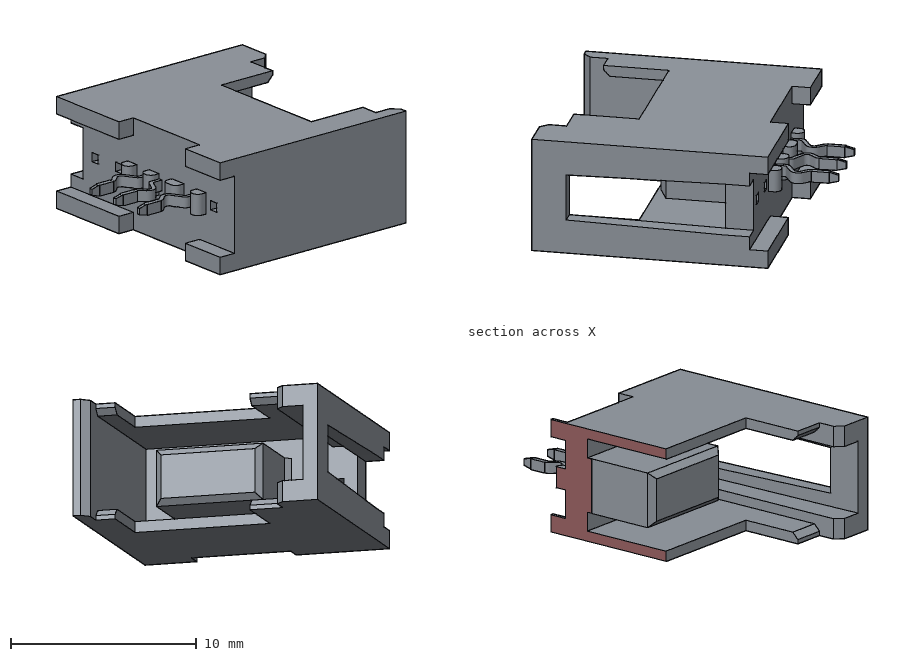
import cadquery as cq
import math


WIDTH = 13.8
HEIGHT = 6.4
MOUTH_Y = 12.0
RIM_LENGTH = 1.0
RIM_THICKNESS = 1.0
RIM_GAP_LEFT = 5.27
RIM_GAP_RIGHT = 10.87
BACK_WALL = 1.55

MAIN_BAY_LEFT = 2.4
MAIN_BAY_RIGHT = 12.94
MAIN_BAY_HALF = 2.6
KEY_BAY_HALF = 2.04
SIDE_WALL_BOTTOM = 1.03
SIDE_WALL_MOUTH = 0.82

NOTCH_Y = 10.6
CORNER_CHAMFER = 0.43
SLOT_LEFT = 4.25
SLOT_RIGHT = 11.85
SLOT_Y = 7.0
LEAD_IN = 0.35

WINDOW_Y = 10.1
WINDOW_HALF_OUTER = 1.46
WINDOW_HALF_INNER = 1.29

PITCH = 2.0
FIRST_CONTACT_X = 2.05
EMPTY_POSITIONS = (0, 1, 5)
PIN_POSITIONS = ((2, 1), (3, -1), (4, 1))
HOLE_SIZE = 0.52

TONGUE_Y = 6.05
TONGUE_HALF = 1.55
TONGUE_MARGIN = 1.0
TONGUE_TIP_CHAMFER = 0.35
TONGUE_BASE_CHAMFER = 0.3

BOSS_HEIGHT = 0.64
BOSS_HALF = 0.61
BOSS_ROUND = 0.36
BOSSES = ((4.8, 0.78), (6.62, 0.83), (8.51, 1.06), (10.62, 0.79))

PIN_HALF_Z = 0.31
PIN_STRIP = 0.24
PIN_LEG = 0.31
PIN_ROOT_Y = 1.0
ROOT_OFFSET = 0.48
UPPER_BEND_Y = -0.68
APEX_OFFSET = -0.65
APEX_Y = -1.31
LOWER_BEND_Y = -2.02
LEG_TOP_Y = -2.12
APEX_RADIUS = 0.36
BEND_RADIUS = 0.2
TIP_START_Y = -3.1
TIP_END_Y = -3.6
TIP_THICKNESS = 0.2
TIP_HALF_Z = 0.18


def block(x0, x1, y0, y1, z0, z1):
    """Box between two opposite corners."""
    return cq.Workplane("XY").box(x1 - x0, y1 - y0, z1 - z0, centered=False).translate((x0, y0, z0))


def plate(points, half_height):
    """XY outline extruded symmetrically about Z = 0."""
    return cq.Workplane("XY").polyline(points).close().extrude(half_height, both=True)


def make_housing():
    """Solid block with rims along the top and bottom back edges."""
    half = HEIGHT / 2
    body = block(0, WIDTH, 0, MOUTH_Y, -half, half)
    for x0, x1 in ((0, RIM_GAP_LEFT), (RIM_GAP_RIGHT, WIDTH)):
        for z0 in (-half, half - RIM_THICKNESS):
            body = body.union(block(x0, x1, -RIM_LENGTH, 0, z0, z0 + RIM_THICKNESS))
    return body


def make_cavity():
    """Main bay with a flared mouth, and the key bay with its drafted left wall."""
    flare = MAIN_BAY_HALF + LEAD_IN
    flare_start = NOTCH_Y - LEAD_IN
    main_bay = (
        cq.Workplane("YZ", origin=(MAIN_BAY_LEFT, 0, 0))
        .polyline([
            (BACK_WALL, -MAIN_BAY_HALF),
            (flare_start, -MAIN_BAY_HALF),
            (NOTCH_Y, -flare),
            (MOUTH_Y, -flare),
            (MOUTH_Y, flare),
            (NOTCH_Y, flare),
            (flare_start, MAIN_BAY_HALF),
            (BACK_WALL, MAIN_BAY_HALF),
        ])
        .close()
        .extrude(MAIN_BAY_RIGHT - MAIN_BAY_LEFT)
    )
    key_bay = plate(
        [
            (SIDE_WALL_BOTTOM, BACK_WALL),
            (MAIN_BAY_RIGHT, BACK_WALL),
            (MAIN_BAY_RIGHT, MOUTH_Y),
            (SIDE_WALL_MOUTH, MOUTH_Y),
        ],
        KEY_BAY_HALF,
    )
    return main_bay.union(key_bay)


def make_plate_opening():
    """Stepped mouth opening that passes through the top and bottom plates."""
    chamfer_y = MOUTH_Y - CORNER_CHAMFER
    return plate(
        [
            (MAIN_BAY_LEFT - CORNER_CHAMFER, MOUTH_Y),
            (MAIN_BAY_LEFT, chamfer_y),
            (MAIN_BAY_LEFT, NOTCH_Y),
            (SLOT_LEFT, NOTCH_Y),
            (SLOT_LEFT, SLOT_Y),
            (SLOT_RIGHT, SLOT_Y),
            (SLOT_RIGHT, NOTCH_Y),
            (MAIN_BAY_RIGHT, NOTCH_Y),
            (MAIN_BAY_RIGHT, chamfer_y),
            (MAIN_BAY_RIGHT + CORNER_CHAMFER, MOUTH_Y),
        ],
        HEIGHT / 2,
    )


def make_window():
    """Tapered latch window, running out through the back wall."""
    return (
        cq.Workplane("YZ")
        .polyline([
            (0, -WINDOW_HALF_OUTER),
            (BACK_WALL, -WINDOW_HALF_OUTER),
            (WINDOW_Y, -WINDOW_HALF_INNER),
            (WINDOW_Y, WINDOW_HALF_INNER),
            (BACK_WALL, WINDOW_HALF_OUTER),
            (0, WINDOW_HALF_OUTER),
        ])
        .close()
        .extrude(SIDE_WALL_BOTTOM)
    )


def contact_x(position):
    return FIRST_CONTACT_X + position * PITCH


def make_contact_hole(position):
    """Square hole through the back wall at an unused contact position."""
    half = HOLE_SIZE / 2
    x = contact_x(position)
    return block(x - half, x + half, 0, BACK_WALL, -half, half)


def make_tongue():
    """Tongue rising from the back wall, chamfered at its tip and flared at its base."""
    x0 = contact_x(PIN_POSITIONS[0][0]) - TONGUE_MARGIN
    x1 = contact_x(PIN_POSITIONS[-1][0]) + TONGUE_MARGIN
    tongue = block(x0, x1, BACK_WALL, TONGUE_Y, -TONGUE_HALF, TONGUE_HALF)
    tongue = tongue.faces(">Y").chamfer(TONGUE_TIP_CHAMFER)
    base = plate(
        [
            (x0 - TONGUE_BASE_CHAMFER, BACK_WALL),
            (x1 + TONGUE_BASE_CHAMFER, BACK_WALL),
            (x1, BACK_WALL + TONGUE_BASE_CHAMFER),
            (x0, BACK_WALL + TONGUE_BASE_CHAMFER),
        ],
        TONGUE_HALF,
    )
    return tongue.union(base)


def make_boss(left, width):
    """Standoff with its two outer edges rounded."""
    boss = block(left, left + width, -BOSS_HEIGHT, 0, -BOSS_HALF, BOSS_HALF)
    return boss.faces("<Y").edges("|Z").fillet(BOSS_ROUND)


def strip_outline(path, thickness):
    """Closed outline of a bent strip, mitred about its centre line."""
    headings = [math.atan2(b[1] - a[1], b[0] - a[0]) for a, b in zip(path, path[1:])]
    before = [headings[0]] + headings
    after = headings + [headings[-1]]
    left, right = [], []
    for (x, y), h0, h1 in zip(path, before, after):
        normal = (h0 + h1 + math.pi) / 2
        reach = thickness / 2 / math.cos((h1 - h0) / 2)
        dx = reach * math.cos(normal)
        dy = reach * math.sin(normal)
        left.append((x + dx, y + dy))
        right.append((x - dx, y - dy))
    return left + right[::-1]


def round_bend(strip, x, y, radius, bulge):
    """Round the strip bend at (x, y), which bulges to the +X (1) or -X (-1) side."""
    reach = PIN_STRIP
    near = cq.selectors.BoxSelector((x - reach, y - reach, -HEIGHT), (x + reach, y + reach, HEIGHT))
    edges = strip.edges("|Z").edges(near).vals()
    inner, outer = sorted(edges, key=lambda edge: bulge * edge.Center().x)
    strip = strip.newObject([inner]).fillet(radius - PIN_STRIP / 2)
    return strip.newObject([outer]).fillet(radius + PIN_STRIP / 2)


def make_pin():
    """Pin with its straight leg on X = 0 and its root offset to +X."""
    bends = (
        (ROOT_OFFSET, UPPER_BEND_Y, BEND_RADIUS, 1),
        (APEX_OFFSET, APEX_Y, APEX_RADIUS, -1),
        (0, LOWER_BEND_Y, BEND_RADIUS, 1),
    )
    path = [(ROOT_OFFSET, PIN_ROOT_Y)] + [(x, y) for x, y, _, _ in bends] + [(0, TIP_START_Y)]
    pin = plate(strip_outline(path, PIN_STRIP), PIN_HALF_Z)
    for x, y, radius, bulge in bends:
        pin = round_bend(pin, x, y, radius, bulge)

    leg_half = PIN_LEG / 2
    leg = block(-leg_half, leg_half, TIP_START_Y, LEG_TOP_Y, -PIN_HALF_Z, PIN_HALF_Z)
    tip = (
        cq.Workplane("YZ")
        .polyline([
            (TIP_START_Y, -PIN_HALF_Z),
            (TIP_END_Y, -TIP_HALF_Z),
            (TIP_END_Y, TIP_HALF_Z),
            (TIP_START_Y, PIN_HALF_Z),
        ])
        .close()
        .extrude(TIP_THICKNESS / 2, both=True)
    )
    return pin.union(leg).union(tip)


result = make_housing().cut(make_cavity()).cut(make_plate_opening()).cut(make_window())

for empty_position in EMPTY_POSITIONS:
    result = result.cut(make_contact_hole(empty_position))

result = result.union(make_tongue())

for boss_left, boss_width in BOSSES:
    result = result.union(make_boss(boss_left, boss_width))

right_pin = make_pin()
left_pin = right_pin.mirror("YZ")
for pin_position, root_side in PIN_POSITIONS:
    shaped_pin = right_pin if root_side > 0 else left_pin
    result = result.union(shaped_pin.translate((contact_x(pin_position), 0, 0)))